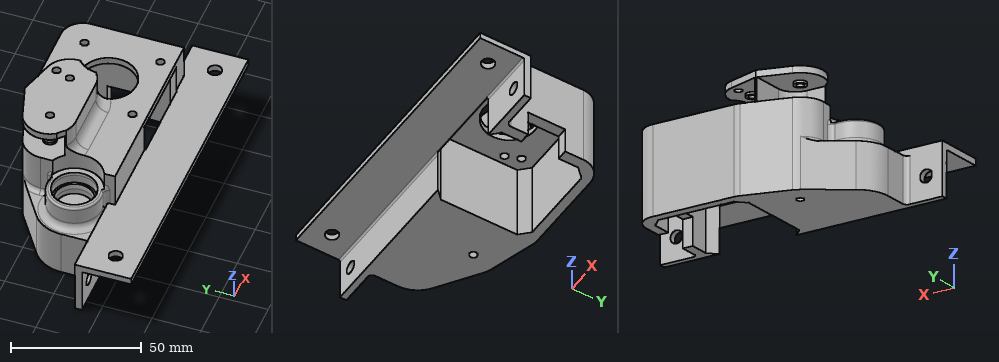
import cadquery as cq
import math


plate_thickness = 3.0
margin = 0.1

bracket_length = 130.0
wall_height = 23.0
flange_reach = 20.0
root_fillet = 0.8
bracket_hole_diameter = 5.5
wall_hole_inset = 7.5
wall_hole_height = 10.0
flange_hole_inset = 10.0
flange_hole_reach = 10.0

block_right = 113.0
block_back = 46.9
block_top = 38.0
shelf_top = wall_height - plate_thickness
back_corner_radius = 9.0
side_fillet = 2.0

boss_x = 32.0
boss_y = 15.0
shelf_radius = 15.0
boss_radius = 11.0
boss_top = 30.7
boss_root_fillet = 3.0
boss_rim_fillet = 0.9
clearance_radius = 11.5
bore_radius = 8.7
bore_mouth_radius = 9.0
bore_mouth_depth = 1.0
bore_depth = 5.0
seat_radius = 7.8
seat_end_radius = 7.4
seat_depth = 2.1
bore_floor = 21.0

idler_y = 30.4
idler_left_x = 47.0
idler_spacing = 22.0
idler_right_x = idler_left_x + idler_spacing
idler_middle_x = (idler_left_x + idler_right_x) / 2
pad_radius = 10.5
block_left = idler_left_x - pad_radius
pad_top = 51.0
pad_root_fillet = 5.1
pad_apex_y = 44.7
pocket_front = 22.1
pocket_corner_radius = 7.9
web_thickness = 1.0
idler_hole_diameter = 3.2
washer_radius = 2.7
washer_height = 1.0

motor_x = 86.8
motor_y = 21.2
motor_pilot_diameter = 22.9
motor_hole_spacing = 31.0
motor_hole_diameter = 3.2
motor_cavity_size = 43.0
motor_cavity_chamfer = 4.2
plug_opening_width = 16.9
plug_opening_height = 12.0


def box(x0, x1, y0, y1, z0, z1):
    return cq.Workplane("XY").box(x1 - x0, y1 - y0, z1 - z0, centered=False).translate((x0, y0, z0))


def cylinder(x, y, radius, z0, z1):
    return cq.Workplane("XY", origin=(x, y, z0)).circle(radius).extrude(z1 - z0)


def flare_profile(plane, origin, radius, fillet, side=1):
    """Half section of an upright wall at a radius, with a concave foot."""
    middle = fillet * (1 - math.sqrt(0.5))
    return (
        cq.Workplane(plane, origin=origin)
        .lineTo(side * (radius + fillet), 0)
        .threePointArc((side * (radius + middle), middle), (side * radius, fillet))
        .lineTo(0, fillet)
        .close()
    )


def flare(x, y, z, radius, fillet):
    """Concave foot all round an upright cylinder standing at height z."""
    return flare_profile("XZ", (x, y, z), radius, fillet).revolve(360, (0, 0), (0, 1))


def on_pad_circle(angle):
    """Point of the left pad circle at an angle in radians from +X."""
    return (idler_left_x + pad_radius * math.cos(angle), idler_y + pad_radius * math.sin(angle))


def on_shelf_circle(angle):
    """Point of the shelf circle around the boss at an angle in radians from +X."""
    return (boss_x + shelf_radius * math.cos(angle), boss_y + shelf_radius * math.sin(angle))


def mirrored(point):
    """Mirror a point across the plane midway between the two idlers."""
    return (2 * idler_middle_x - point[0], point[1])


apex = (idler_middle_x, pad_apex_y)
apex_dx = apex[0] - idler_left_x
apex_dy = apex[1] - idler_y
apex_angle = math.atan2(apex_dy, apex_dx) + math.acos(pad_radius / math.hypot(apex_dx, apex_dy))
slope_start = on_pad_circle(apex_angle)
slope_end_x = apex[0] + (block_back - pad_apex_y) / math.tan(apex_angle - math.pi / 2)
slope_end = (slope_end_x, block_back)

center_dx = idler_left_x - boss_x
center_dy = idler_y - boss_y
center_gap = math.hypot(center_dx, center_dy)
tangent_angle = math.atan2(center_dy, center_dx) + math.acos((shelf_radius - pad_radius) / center_gap)
pad_tangent = on_pad_circle(tangent_angle)
pad_between = on_pad_circle((tangent_angle + apex_angle) / 2)


def finish_housing(outline, height):
    """Close an outline along the block's back and right sides, extrude it, round the back corners."""
    solid = (
        outline.lineTo(*slope_end)
        .lineTo(block_right, block_back)
        .lineTo(block_right, 0)
        .close()
        .extrude(height)
    )
    corners = cq.selectors.BoxSelector(
        (slope_end[0] - margin, block_back - margin, -margin),
        (block_right + margin, block_back + margin, block_top + margin),
    )
    return solid.edges("|Z").edges(corners).fillet(back_corner_radius)


def shelf_body(height):
    """Full housing outline, rounded about the boss, extruded from the underside."""
    outline = (
        cq.Workplane("XY")
        .moveTo(boss_x - shelf_radius, 0)
        .lineTo(boss_x - shelf_radius, boss_y)
        .threePointArc(on_shelf_circle((math.pi + tangent_angle) / 2), on_shelf_circle(tangent_angle))
        .lineTo(*pad_tangent)
        .threePointArc(pad_between, slope_start)
    )
    return finish_housing(outline, height)


def block_body():
    """Tall block, with its left end rounded about the left idler."""
    outline = (
        cq.Workplane("XY")
        .moveTo(block_left, 0)
        .lineTo(block_left, idler_y)
        .threePointArc(on_pad_circle((math.pi + apex_angle) / 2), slope_start)
    )
    return finish_housing(outline, block_top)


def boss_blend():
    """Rod boss rising from the shelf, with rounded inside corners against the block's left face."""
    shelf = box(boss_x - shelf_radius, block_left, 0, idler_y, 0, shelf_top)
    block = box(block_left, idler_left_x, 0, idler_y, 0, block_top)
    boss = cylinder(boss_x, boss_y, boss_radius, shelf_top, boss_top).edges(">Z").fillet(boss_rim_fillet)
    solid = shelf.union(block).union(boss)
    inside_corners = cq.selectors.BoxSelector(
        (block_left - margin, margin, shelf_top - margin),
        (block_left + margin, idler_y - margin, boss_top + margin),
    )
    solid = solid.edges(inside_corners).fillet(side_fillet)
    return solid.union(flare(boss_x, boss_y, shelf_top, boss_radius, boss_root_fillet))


def housing():
    """Shelf and block with the rod boss; everything above the shelf stays within its outline."""
    column_flare = flare(idler_left_x, idler_y, shelf_top, pad_radius, side_fillet)
    back_left = box(block_left - pad_radius, idler_left_x, idler_y, block_back, 0, block_top)
    blends = boss_blend().union(column_flare.intersect(back_left)).intersect(shelf_body(block_top))
    return shelf_body(shelf_top).union(block_body()).union(blends)


def bracket():
    """Upright wall and forward flange with their mounting holes."""
    wall = box(0, bracket_length, 0, plate_thickness, 0, wall_height)
    flange = box(0, bracket_length, -flange_reach, plate_thickness, shelf_top, wall_height)
    root = cq.selectors.BoxSelector(
        (-margin, -margin, shelf_top - margin),
        (bracket_length + margin, margin, shelf_top + margin),
    )
    solid = wall.union(flange).edges(root).fillet(root_fillet)
    hole_radius = bracket_hole_diameter / 2
    for inset in (flange_hole_inset, bracket_length - flange_hole_inset):
        solid = solid.cut(cylinder(inset, -flange_hole_reach, hole_radius, 0, wall_height))
    for inset in (wall_hole_inset, bracket_length - wall_hole_inset):
        hole = cq.Workplane("XZ", origin=(inset, 0, wall_hole_height)).circle(hole_radius)
        solid = solid.cut(hole.extrude(-plate_thickness))
    return solid


def bracket_sides(solid):
    """Round the two inside corners between the housing sides and the bracket wall."""
    for x in (boss_x - shelf_radius, block_right):
        corner = cq.selectors.BoxSelector(
            (x - margin, plate_thickness - margin, -margin),
            (x + margin, plate_thickness + margin, block_top),
        )
        solid = solid.edges(corner).edges("|Z").fillet(side_fillet)
    return solid


def idler_pad():
    """Solid pad for the idlers with a blended foot along its front."""
    pad = (
        cq.Workplane("XY", origin=(0, 0, block_top))
        .moveTo(*slope_start)
        .threePointArc(on_pad_circle(math.pi), (idler_left_x, idler_y - pad_radius))
        .lineTo(idler_right_x, idler_y - pad_radius)
        .threePointArc(mirrored(on_pad_circle(math.pi)), mirrored(slope_start))
        .lineTo(*apex)
        .close()
        .extrude(pad_top - block_top)
    )
    return pad.union(pad_foot())


def pad_foot():
    """Concave flare along the front of the pad, swept round both of its ends."""
    foot = flare_profile("YZ", (idler_left_x, idler_y, block_top), pad_radius, pad_root_fillet, -1)
    foot = foot.extrude(idler_spacing)
    for x in (idler_left_x, idler_right_x):
        foot = foot.union(flare(x, idler_y, block_top, pad_radius, pad_root_fillet))
    front = box(0, bracket_length, 0, idler_y, block_top, pad_top)
    return foot.intersect(front)


def pulley_pocket(x, outward):
    """Space for one pulley, open outward along X and to the back, keeping the two washer faces."""
    floor = block_top
    ceiling = pad_top - plate_thickness
    web_face = idler_middle_x + outward * web_thickness / 2
    open_end = x + outward * 2 * pad_radius
    pocket = box(*sorted((web_face, open_end)), pocket_front, block_back, floor, ceiling)
    inner_corner = "<Y and >X" if outward < 0 else "<Y and <X"
    pocket = pocket.edges("|Z").edges(inner_corner).fillet(pocket_corner_radius)
    for z in (floor, ceiling - washer_height):
        pocket = pocket.cut(cylinder(x, idler_y, washer_radius, z, z + washer_height))
    return pocket


def boss_bore():
    """Stepped blind bore in the rod boss."""
    seat_z = boss_top - bore_depth
    bore = cylinder(boss_x, boss_y, bore_radius, seat_z, boss_top)
    mouth_base = cq.Vector(boss_x, boss_y, boss_top - bore_mouth_depth)
    mouth = cq.Solid.makeCone(bore_radius, bore_mouth_radius, bore_mouth_depth, mouth_base)
    taper_base = cq.Vector(boss_x, boss_y, seat_z - seat_depth)
    taper = cq.Solid.makeCone(seat_end_radius, seat_radius, seat_depth, taper_base)
    end = cylinder(boss_x, boss_y, seat_end_radius, bore_floor, seat_z - seat_depth)
    return bore.union(cq.Workplane(mouth)).union(cq.Workplane(taper)).union(end)


def motor_space():
    """Motor body cavity, open below, with its pilot, screw holes and plug opening."""
    cavity = (
        cq.Workplane("XY", origin=(motor_x, motor_y, 0))
        .rect(motor_cavity_size, motor_cavity_size)
        .extrude(block_top - plate_thickness)
        .edges("|Z")
        .chamfer(motor_cavity_chamfer)
    )
    pilot = cylinder(motor_x, motor_y, motor_pilot_diameter / 2, 0, pad_top)
    screws = (
        cq.Workplane("XY", origin=(motor_x, motor_y, 0))
        .rect(motor_hole_spacing, motor_hole_spacing, forConstruction=True)
        .vertices()
        .circle(motor_hole_diameter / 2)
        .extrude(pad_top)
    )
    half_plug = plug_opening_width / 2
    plug = box(motor_x, block_right, motor_y - half_plug, motor_y + half_plug, 0, plug_opening_height)
    return cavity.union(pilot).union(screws).union(plug)


result = bracket_sides(housing().union(bracket()))
result = result.union(idler_pad())
result = result.cut(pulley_pocket(idler_left_x, -1)).cut(pulley_pocket(idler_right_x, 1))
result = result.cut(cylinder(boss_x, boss_y, clearance_radius, boss_top, pad_top))
result = result.cut(boss_bore())
result = result.cut(motor_space())
for hole_x in (idler_left_x, idler_right_x):
    result = result.cut(cylinder(hole_x, idler_y, idler_hole_diameter / 2, 0, pad_top))